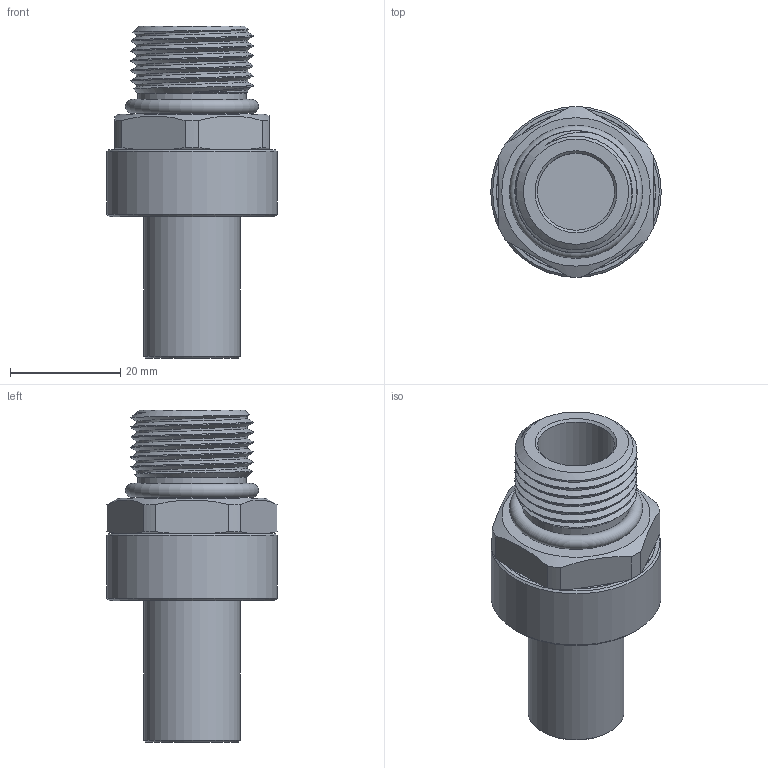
import cadquery as cq
import math

total_height = 60.35
collar_bottom = 25.7
collar_top = 37.9
hex_top = 44.3
ring_center = 45.72
thread_bottom = 48.1

stem_diameter = 17.48
stem_chamfer = 0.3
collar_diameter = 31.0
collar_bottom_chamfer = 0.45
collar_top_chamfer = 0.35

across_flats = 28.0
hex_chamfer_diameter = 27.0
hex_chamfer_angle = 30.0
hex_seat_diameter = 28.9
hex_seat_height = 0.05
hex_relief_angle = 15.0

neck_diameter = 19.7
ring_outer_diameter = 24.2
ring_section_diameter = 2.55

root_diameter = 20.2
crest_diameter = 22.2
pitch = 1.814
ridge_root_width = 1.4
ridge_crest_width = 0.2
crest_height_at_x_axis = total_height - 1.79
ridge_overlap = 0.1
top_face_diameter = 19.1
top_chamfer_slope = 0.85
envelope_clearance = 2.0
core_overrun = 3 * pitch

bore_diameter = 14.0
bore_floor = collar_top
bore_chamfer = 0.45


def cylinder(diameter, bottom, top):
    return cq.Workplane("XY").workplane(offset=bottom).circle(diameter / 2).extrude(top - bottom)


def revolved(points):
    return cq.Workplane("XZ").polyline(points).close().revolve(360, (0, 0), (0, 1))


def make_stem():
    stem = cylinder(stem_diameter, 0, collar_bottom)
    return stem.faces("<Z").chamfer(stem_chamfer)


def make_collar():
    collar = cylinder(collar_diameter, collar_bottom, collar_top)
    collar = collar.faces("<Z").chamfer(collar_bottom_chamfer)
    return collar.faces(">Z").chamfer(collar_top_chamfer)


def make_hexagon():
    across_corners = across_flats / math.cos(math.radians(30))
    prism = (
        cq.Workplane("XY")
        .workplane(offset=collar_top)
        .polygon(6, across_corners)
        .extrude(hex_top - collar_top)
        .rotate((0, 0, 0), (0, 0, 1), 30)
    )
    outer_radius = collar_diameter / 2
    chamfer_radius = hex_chamfer_diameter / 2
    seat_radius = hex_seat_diameter / 2
    chamfer_drop = (outer_radius - chamfer_radius) * math.tan(math.radians(hex_chamfer_angle))
    relief_rise = (outer_radius - seat_radius) * math.tan(math.radians(hex_relief_angle))
    relief_bottom = collar_top + hex_seat_height
    turned_blank = revolved([
        (0, collar_top),
        (seat_radius, collar_top),
        (seat_radius, relief_bottom),
        (outer_radius, relief_bottom + relief_rise),
        (outer_radius, hex_top - chamfer_drop),
        (chamfer_radius, hex_top),
        (0, hex_top),
    ])
    seat = cylinder(hex_seat_diameter, collar_top, collar_top + hex_seat_height)
    return prism.intersect(turned_blank).union(seat)


def make_sealing_ring():
    path_radius = (ring_outer_diameter - ring_section_diameter) / 2
    return (
        cq.Workplane("XZ")
        .center(-path_radius, ring_center)
        .circle(ring_section_diameter / 2)
        .revolve(360, (path_radius, 0), (path_radius, 1))
    )


def make_thread_ridge():
    turns_below = math.ceil((crest_height_at_x_axis - thread_bottom) / pitch) + 1
    turns_above = 2
    start_height = crest_height_at_x_axis - turns_below * pitch
    inner_radius = root_diameter / 2 - ridge_overlap
    flank_slope = (ridge_root_width - ridge_crest_width) / (crest_diameter - root_diameter)
    inner_half_width = ridge_root_width / 2 + ridge_overlap * flank_slope
    crest_half_width = ridge_crest_width / 2
    helix = cq.Wire.makeHelix(pitch, (turns_below + turns_above) * pitch, root_diameter / 2)
    ridge = (
        cq.Workplane("XZ")
        .polyline([
            (inner_radius, -inner_half_width),
            (crest_diameter / 2, -crest_half_width),
            (crest_diameter / 2, crest_half_width),
            (inner_radius, inner_half_width),
        ])
        .close()
        .sweep(cq.Workplane(obj=helix), isFrenet=True)
    )
    return ridge.translate((0, 0, start_height))


def make_thread():
    neck_radius = neck_diameter / 2
    top_radius = top_face_diameter / 2
    outer_radius = crest_diameter / 2 + envelope_clearance
    envelope = revolved([
        (0, thread_bottom),
        (neck_radius, thread_bottom),
        (outer_radius, thread_bottom + outer_radius - neck_radius),
        (outer_radius, total_height - top_chamfer_slope * (outer_radius - top_radius)),
        (top_radius, total_height),
        (0, total_height),
    ])
    core = cylinder(root_diameter, thread_bottom - core_overrun, total_height + core_overrun)
    return core.union(make_thread_ridge()).intersect(envelope)


def make_bore():
    bore_radius = bore_diameter / 2
    return revolved([
        (0, bore_floor),
        (bore_radius, bore_floor),
        (bore_radius, total_height - bore_chamfer),
        (bore_radius + bore_chamfer, total_height),
        (0, total_height),
    ])


neck = cylinder(neck_diameter, hex_top, thread_bottom)

result = (
    make_stem()
    .union(make_collar())
    .union(make_hexagon())
    .union(neck)
    .union(make_sealing_ring())
    .union(make_thread())
    .cut(make_bore())
)